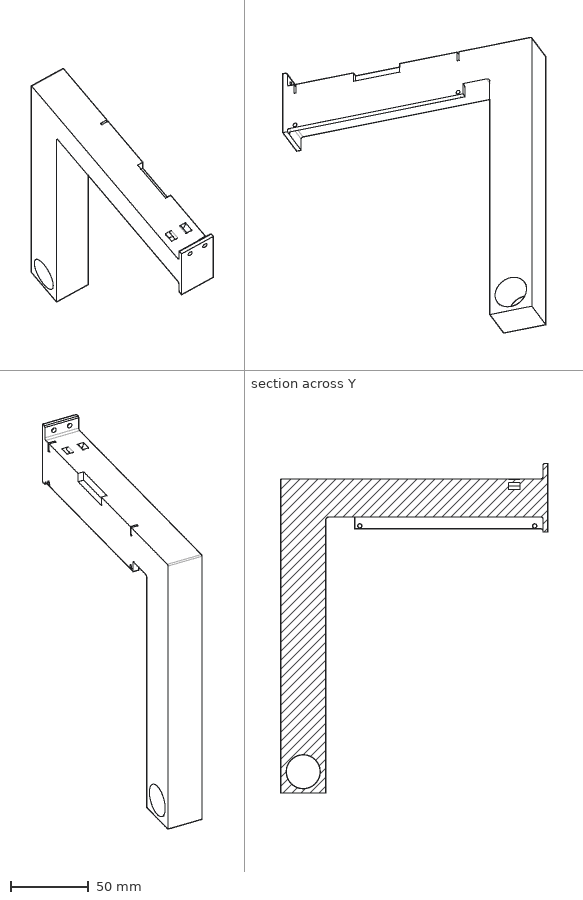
import cadquery as cq
import math

length = 172.4
width = 25.0
height = 212.8
back = width / 2
leg_width = 29.2
arm_top = 202.8
arm_bottom = 178.1
elbow_radius = 2.1
corner_radius = 0.9

plate_thickness = 3.2
plate_bottom = 168.3
plate_face = length - plate_thickness
plate_root_radius = 1.3
plate_edge_chamfer = 0.9
plate_hole_diameter = 3.2
plate_hole_spacing = 11.5
plate_hole_height = height - 5.0

foot_hole_diameter = 21.7
foot_hole_height = 13.8

tab_start = 47.7
tab_bottom = 170.5
tab_thickness = 4.0
tab_root_radius = 1.3
tab_hole_diameter = 2.5
tab_hole_height = 172.4
tab_hole_positions = (51.0, 163.9)

pocket_start = 91.5
pocket_length = 32.0
pocket_width = 4.0
pocket_depth = 6.4
slot_width = 1.3
slot_length = 5.0
slot_depth = 6.4

tunnel_center_x = 150.7
tunnel_width = 7.2
tunnel_outer_radius = 7.9
tunnel_inner_radius = 4.7
tunnel_lip_radius = 1.3


def plate_arm_and_leg():
    leg = cq.Workplane("XY").box(leg_width, width, arm_top, centered=(False, True, False))
    arm = (
        cq.Workplane("XY", origin=(0, 0, arm_bottom))
        .box(length, width, arm_top - arm_bottom, centered=(False, True, False))
    )
    plate = (
        cq.Workplane("XY", origin=(plate_face, 0, plate_bottom))
        .box(plate_thickness, width, height - plate_bottom, centered=(False, True, False))
        .edges("<X and |Y and >Z").chamfer(plate_edge_chamfer)
    )
    body = leg.union(arm).union(plate)
    body = body.edges(edge_at(leg_width, arm_bottom)).fillet(elbow_radius)
    body = body.edges(edge_at(0, arm_top)).fillet(corner_radius)
    for z in (arm_top, arm_bottom):
        body = body.edges(edge_at(plate_face, z)).fillet(plate_root_radius)
    return body


def edge_at(x, z):
    """Select the edge that crosses the full width at the given X and Z."""
    margin = 0.1
    return cq.selectors.BoxSelector((x - margin, -margin, z - margin), (x + margin, margin, z + margin))


def hole_through_width(x, z, diameter):
    return cq.Workplane("XZ", origin=(x, 0, z)).circle(diameter / 2).extrude(back, both=True)


def tab():
    strip = (
        cq.Workplane("XY", origin=(tab_start, back - tab_thickness, tab_bottom))
        .box(plate_face - tab_start, tab_thickness, arm_bottom - tab_bottom, centered=False)
    )
    arc_middle = tab_root_radius * (1 - math.sqrt(0.5))
    root_fill = (
        cq.Workplane("XZ", origin=(plate_face, back, tab_bottom))
        .lineTo(0, -tab_root_radius)
        .threePointArc((-arc_middle, -arc_middle), (-tab_root_radius, 0))
        .close().extrude(tab_thickness)
    )
    strip = strip.union(root_fill)
    for x in tab_hole_positions:
        strip = strip.cut(hole_through_width(x, tab_hole_height, tab_hole_diameter))
    return strip


def back_edge_cut(start, cut_length, cut_width, depth):
    return (
        cq.Workplane("XY", origin=(start, back - cut_width, arm_top - depth))
        .box(cut_length, cut_width, depth, centered=False)
    )


def tie_tunnel():
    """Half ring below the arm top, with its inner lips flared by a tangent round."""
    start = (tunnel_center_x - tunnel_width / 2, 0, arm_top)
    bowl = (
        cq.Workplane("YZ", origin=start)
        .moveTo(-tunnel_outer_radius, 0)
        .threePointArc((0, -tunnel_outer_radius), (tunnel_outer_radius, 0))
        .close().extrude(tunnel_width)
    )
    core = (
        cq.Workplane("YZ", origin=start)
        .moveTo(-tunnel_inner_radius, 0)
        .threePointArc((0, -tunnel_inner_radius), (tunnel_inner_radius, 0))
        .close().extrude(tunnel_width)
        .edges("|X and >Z").fillet(tunnel_lip_radius)
    )
    return bowl.cut(core)


def plate_holes():
    return (
        cq.Workplane("YZ", origin=(plate_face, 0, plate_hole_height))
        .pushPoints([(-plate_hole_spacing / 2, 0), (plate_hole_spacing / 2, 0)])
        .circle(plate_hole_diameter / 2).extrude(plate_thickness)
    )


result = plate_arm_and_leg().union(tab())
result = result.cut(hole_through_width(leg_width / 2, foot_hole_height, foot_hole_diameter))
result = result.cut(plate_holes())
result = result.cut(back_edge_cut(pocket_start, pocket_length, pocket_width, pocket_depth))
for slot_x in tab_hole_positions:
    result = result.cut(back_edge_cut(slot_x - slot_width / 2, slot_width, slot_length, slot_depth))
result = result.cut(tie_tunnel())